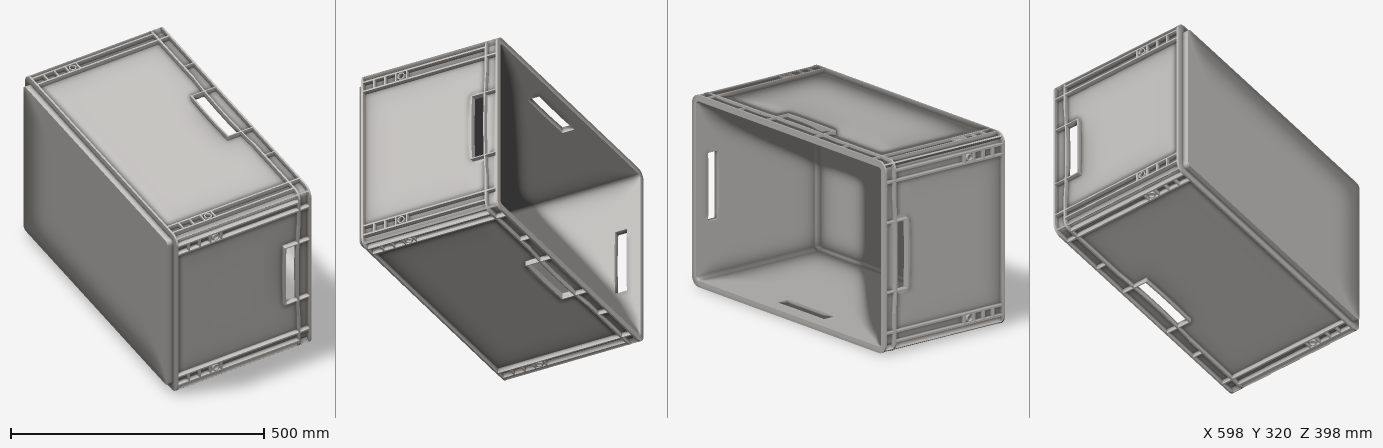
import cadquery as cq
import math


length = 598.0
height = 320.0
width = 398.0
corner_radius = 20.5

rib_depth = 11.0
wall_thickness = 2.5
foot_height = 12.5
foot_inset = 15.5
foot_radius = 8.5
foot_wall = 3.5
floor_thickness = 5.0

flange_thickness = 3.9
second_flange_top = height - 24.5
rib_thickness = 3.5
outer_rib_from_edge = 22.0
inner_rib_from_edge = 43.0
thin_rib = 2.5
rim_rib_from_middle = 159.0

crossbar_thickness = 3.0
crossbar_pitch = 24.5
crossbar_count = 4
first_crossbar = 41.0
ring_outer_radius = 8.0
ring_inner_radius = 5.7

arch_half_span = 116.5
arch_sag = 3.5
arch_thickness = 3.0
arch_radius = (arch_half_span**2 + arch_sag**2) / (2 * arch_sag)
handle_half_width = 73.5
handle_side_bar = 2.5
handle_lowest = height - 62.0
handle_bottom_bar = 3.5

wall_bottom = foot_height
band_bottom = wall_bottom + flange_thickness
second_flange_bottom = second_flange_top - flange_thickness
top_flange_bottom = height - flange_thickness
wall_reach = rib_depth + wall_thickness
overlap = wall_thickness / 2
bar_depth = rib_depth + overlap
arch_lowest = second_flange_bottom - arch_sag
fin_centre_from_edge = corner_radius


def rounded_slab(inset, radius, bottom, top):
    """Upright block with rounded corners, set in from the outer edge by the inset."""
    block = cq.Workplane("XY").box(length - 2 * inset, top - bottom, width - 2 * inset)
    return block.edges("|Y").fillet(radius).translate((0, (bottom + top) / 2, 0))


def offset_slab(inset, bottom, top):
    """Slab whose corners stay concentric with the outer corners."""
    return rounded_slab(inset, corner_radius - inset, bottom, top)


def side_block(u_centre, u_size, bottom, top):
    """Upright block on a side face, with the face at Z = 0 and u running along it.

    It reaches inward through the rib depth and a little way into the wall.
    """
    block = cq.Workplane("XY").box(u_size, top - bottom, bar_depth)
    return block.translate((u_centre, (bottom + top) / 2, -bar_depth / 2))


def arch_rise(half_span):
    """Height of an arch end above the lowest point of the arch."""
    return arch_radius - math.sqrt(arch_radius**2 - half_span**2)


def arched_bar(half_span, lowest, thickness, depth):
    """Bar bowed towards the foot, with the lowest point of its lower edge at the given level."""
    low_end = lowest + arch_rise(half_span)
    bar = (
        cq.Workplane("XY")
        .moveTo(-half_span, low_end)
        .threePointArc((0, lowest), (half_span, low_end))
        .lineTo(half_span, low_end + thickness)
        .threePointArc((0, lowest + thickness), (-half_span, low_end + thickness))
        .close()
    )
    return bar.extrude(-depth)


def corner_ladder(half_length):
    """Two ribs near the +u corner with crossbars and a ring between them."""
    outer_rib = half_length - outer_rib_from_edge
    inner_rib = half_length - inner_rib_from_edge
    middle = (outer_rib + inner_rib) / 2
    parts = side_block(outer_rib, rib_thickness, wall_bottom, second_flange_top)
    parts = parts.union(side_block(inner_rib, rib_thickness, wall_bottom, height))
    for i in range(crossbar_count):
        level = first_crossbar + i * crossbar_pitch
        half = crossbar_thickness / 2
        parts = parts.union(side_block(middle, outer_rib - inner_rib, level - half, level + half))
    highest_crossbar = first_crossbar + (crossbar_count - 1) * crossbar_pitch
    ring_level = highest_crossbar - crossbar_pitch / 2
    ring = (
        cq.Workplane("XY")
        .center(middle, ring_level)
        .circle(ring_outer_radius)
        .circle(ring_inner_radius)
        .extrude(-bar_depth)
    )
    return parts.union(ring)


def handle_bars():
    """Arched bar over the handle, plus the bottom and side bars of its frame."""
    bars = arched_bar(arch_half_span, arch_lowest, arch_thickness, bar_depth)
    bars = bars.union(arched_bar(handle_half_width, handle_lowest, handle_bottom_bar, bar_depth))
    side_bottom = handle_lowest + arch_rise(handle_half_width)
    for side in (-1, 1):
        middle = side * (handle_half_width - handle_side_bar / 2)
        bars = bars.union(side_block(middle, handle_side_bar, side_bottom, height))
    return bars


def handle_window():
    """Opening through the wall, inside the handle frame."""
    half_span = handle_half_width - handle_side_bar
    lowest = handle_lowest + handle_bottom_bar
    return arched_bar(half_span, lowest, arch_lowest - lowest, 2 * wall_reach)


def flange_gap():
    """Stretch of the second flange that the arched bar replaces."""
    gap = cq.Workplane("XY").box(2 * arch_half_span, flange_thickness, rib_depth)
    return gap.translate((0, (second_flange_bottom + second_flange_top) / 2, -rib_depth / 2))


def side_details(half_length, rim_ribs):
    """All raised details of one side face."""
    ladder = corner_ladder(half_length)
    details = ladder.union(ladder.mirror("YZ")).union(handle_bars())
    for place in rim_ribs:
        details = details.union(side_block(place, thin_rib, second_flange_bottom, height))
    return details


def on_long_sides(feature):
    """The feature placed on the +Z and -Z faces."""
    placed = feature.translate((0, 0, width / 2))
    return placed.union(placed.mirror("XY"))


def on_short_sides(feature):
    """The feature placed on the -X and +X faces."""
    placed = feature.translate((0, 0, length / 2)).rotate((0, 0, 0), (0, 1, 0), -90)
    return placed.union(placed.mirror("YZ"))


def corner_fins():
    """Diagonal fin in each corner, reaching out to the rounded outline of the flanges."""
    reach = 2 * corner_radius
    fins = cq.Workplane("XY")
    for x_side in (-1, 1):
        for z_side in (-1, 1):
            fin = cq.Workplane("XY").box(reach, height - wall_bottom, rib_thickness)
            fin = fin.rotate((0, 0, 0), (0, 1, 0), -45 * x_side * z_side)
            x = x_side * (length / 2 - fin_centre_from_edge)
            z = z_side * (width / 2 - fin_centre_from_edge)
            fins = fins.union(fin.translate((x, (wall_bottom + height) / 2, z)))
    return fins.intersect(offset_slab(0, wall_bottom, height))


crate = offset_slab(rib_depth, wall_bottom, height)
second_flange = offset_slab(0, second_flange_bottom, second_flange_top)
second_flange = second_flange.cut(on_long_sides(flange_gap())).cut(on_short_sides(flange_gap()))
crate = crate.union(offset_slab(0, wall_bottom, band_bottom))
crate = crate.union(second_flange)
crate = crate.union(offset_slab(0, top_flange_bottom, height))
crate = crate.union(rounded_slab(foot_inset, foot_radius, 0, wall_bottom + overlap))

rim_ribs = (-rim_rib_from_middle, rim_rib_from_middle)
crate = crate.union(on_long_sides(side_details(length / 2, rim_ribs)))
crate = crate.union(on_short_sides(side_details(width / 2, ())))
crate = crate.union(corner_fins())

crate = crate.cut(offset_slab(wall_reach, band_bottom, height))
foot_hollow = rounded_slab(foot_inset + foot_wall, foot_radius - foot_wall, floor_thickness, band_bottom)
crate = crate.cut(foot_hollow)
crate = crate.cut(on_long_sides(handle_window())).cut(on_short_sides(handle_window()))

result = crate